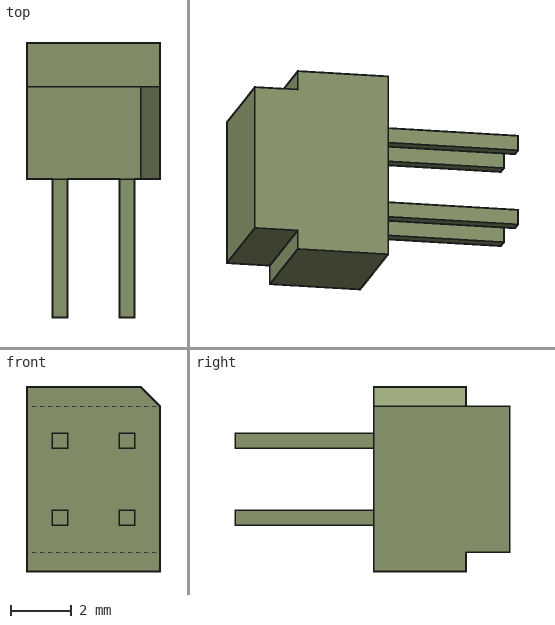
import cadquery as cq

HOUSING_WIDTH = 4.39
HOUSING_HEIGHT = 6.10
FRONT_DEPTH = 3.05
REAR_DEPTH = 1.45
REAR_STEP = 0.635
CORNER_CHAMFER = 0.635

OVERALL_LENGTH = 9.07
PIN_SIZE = 0.50
PIN_PITCH_X = 2.21
PIN_PITCH_Z = 2.54

rear_height = HOUSING_HEIGHT - 2 * REAR_STEP
pin_length = OVERALL_LENGTH - FRONT_DEPTH - REAR_DEPTH


def make_front_block():
    """Full-height block from Y = 0 towards +Y, with its +X top corner cut off."""
    block = cq.Workplane("XY").box(
        HOUSING_WIDTH, FRONT_DEPTH, HOUSING_HEIGHT, centered=(True, False, True)
    )
    return block.edges(">X and >Z").chamfer(CORNER_CHAMFER)


def make_rear_block():
    """Lower block behind the front block, stepped in at the top and bottom."""
    block = cq.Workplane("XY").box(
        HOUSING_WIDTH, REAR_DEPTH, rear_height, centered=(True, False, True)
    )
    return block.translate((0, FRONT_DEPTH, 0))


def make_pins():
    """Four square pins reaching from the front face towards -Y."""
    return (
        cq.Workplane("XZ")
        .rarray(PIN_PITCH_X, PIN_PITCH_Z, 2, 2)
        .rect(PIN_SIZE, PIN_SIZE)
        .extrude(pin_length)
    )


result = make_front_block().union(make_rear_block()).union(make_pins())